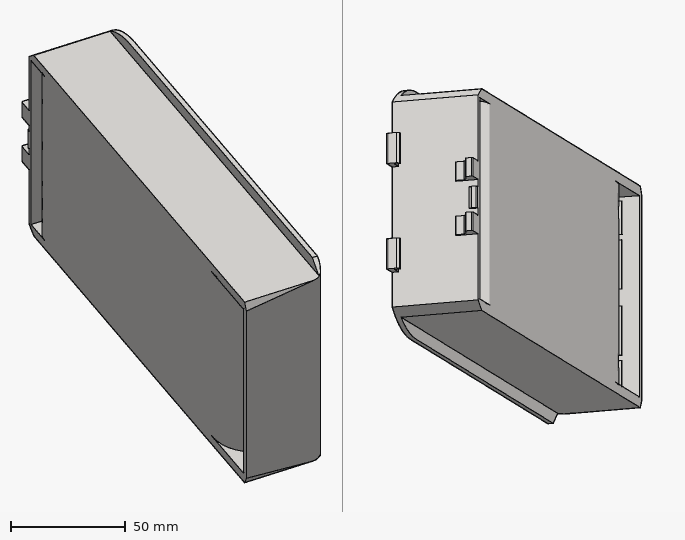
import cadquery as cq
import math


overall_length = 212.44
depth = 40.0
flange_half_height = 55.3
flange_thickness = 2.5
flange_chamfer = 7.0
flange_end_x = 209.6
box_half_height = 49.6
near_wall_x = 7.1
end_draft_angle = 3.0
back_edge_radius = 7.0

corner_radius = 33.0
corner_center_x = 30.2

end_bevel_length = 1.8
end_bevel_height = 3.7

pocket_half_height = 45.0
near_pocket_start = 9.1
near_pocket_end = 21.85
near_pocket_depth = 10.0
near_roll_radius = 11.0
near_roll_angle = 70.0
near_foot_x = 11.3
near_foot_y = 9.5
far_pocket_start = 179.3
far_pocket_end = 209.4
far_pocket_depth = 34.0
far_roll_radius = 23.0
far_roll_angle = 77.0
far_foot_x = 205.5
far_foot_y = 32.5

hook_bottom_z = 16.8
hook_top_z = 30.35
hook_reach = 5.8
hook_arm_thickness = 3.0
hook_lip = 2.2
hook_tip_length = 0.7
hook_tip_height = 1.2
hook_back_length = 0.3
hook_back_height = 1.25

clip_bottom_z = 8.0
clip_top_z = 16.3
clip_depth = 10.2
clip_tip_depth = 3.5
clip_flare_radius = 7.5
clip_edge_chamfer = 0.5
pad_x = 5.5

tab_half_height = 4.8
tab_depth = 3.8
tab_back_bevel_length = 0.6
tab_back_bevel_depth = 1.3

insert_front_y = 8.0
insert_proud = 0.25
insert_seat = 1.0
insert_taper = 1.9
side_notch_z = 27.0
side_notch_height = 2.4
side_notch_depth = 4.0
middle_notch_height = 7.6
middle_notch_depth = 2.5

draft_slope = math.tan(math.radians(end_draft_angle))


def extrude_between(profile, low_z, high_z):
    """Extrude a closed XY profile from low_z to high_z."""
    return profile.extrude(high_z - low_z).translate((0, 0, low_z))


def block(x_range, y_range, z_range):
    """Rectangular block given by its limits along each axis."""
    (x0, x1), (y0, y1), (z0, z1) = x_range, y_range, z_range
    return cq.Workplane("XY").box(x1 - x0, y1 - y0, z1 - z0, centered=False).translate((x0, y0, z0))


def far_outer_x(y):
    """X of the drafted outer end face at depth y."""
    return overall_length - y * draft_slope


def far_inner_x(y):
    """X of the drafted inner face of the far end wall at depth y."""
    return far_pocket_end - y * draft_slope


def make_shell():
    """Solid box and flange, before pockets and hooks."""
    flange_x = (corner_center_x - corner_radius, flange_end_x)
    full_z = (-flange_half_height, flange_half_height)
    box_z = (-box_half_height, box_half_height)
    flange = (
        block(flange_x, (depth - flange_thickness, depth), full_z)
        .edges("|Y and >X")
        .chamfer(flange_chamfer)
        .edges("|Y and <X")
        .fillet(corner_radius)
    )
    rounded = block((flange_x[0], overall_length), (0, depth), full_z).edges("|Y and <X").fillet(corner_radius)
    box = block((near_wall_x, overall_length), (0, depth), box_z).intersect(rounded)
    box = box.cut(end_bevel_cutter()).cut(end_bevel_cutter().mirror("XY"))
    side_profile = (
        cq.Workplane("XY")
        .moveTo(near_wall_x, 0)
        .lineTo(overall_length, 0)
        .lineTo(far_outer_x(depth), depth)
        .lineTo(near_wall_x, depth)
        .close()
    )
    envelope = extrude_between(side_profile, *full_z).faces(">Y").edges(">X").fillet(back_edge_radius)
    return box.union(flange).intersect(envelope)


def end_bevel_cutter():
    """Triangular prism that bevels the upper far corner of the box."""
    return (
        cq.Workplane("XZ")
        .moveTo(overall_length, box_half_height)
        .lineTo(overall_length - end_bevel_length, box_half_height)
        .lineTo(overall_length, box_half_height - end_bevel_height)
        .close()
        .extrude(-depth)
    )


def make_rolled_pocket(edge_x, end_x, floor_end, foot, roll_radius, roll_angle):
    """Pocket with one smooth S-shaped side that starts at edge_x and a plain end wall at end_x.

    The smooth side rolls in from the front face at roll_radius until it has turned by roll_angle,
    then runs down to the foot point and levels out along the floor to floor_end.
    """
    toward_end = math.copysign(1, end_x - edge_x)

    def roll_point(angle_degrees):
        angle = math.radians(angle_degrees)
        return edge_x + toward_end * roll_radius * math.sin(angle), roll_radius * (1 - math.cos(angle))

    side_points = [roll_point(roll_angle / 2), roll_point(roll_angle), foot, floor_end]
    profile = (
        cq.Workplane("XY")
        .moveTo(edge_x, 0)
        .spline(side_points, tangents=[(toward_end, 0), (toward_end, 0)], includeCurrent=True)
        .lineTo(end_x, 0)
        .close()
    )
    return extrude_between(profile, -pocket_half_height, pocket_half_height)


def make_hook():
    """Upper back hook: an arm with a lip turned toward the front."""
    tip_y = depth - hook_reach
    profile = (
        cq.Workplane("XY")
        .moveTo(near_wall_x, depth)
        .lineTo(hook_back_length, depth)
        .lineTo(0, depth - hook_back_height)
        .lineTo(0, tip_y + hook_tip_height)
        .lineTo(hook_tip_length, tip_y)
        .lineTo(hook_lip, tip_y)
        .lineTo(hook_lip, depth - hook_arm_thickness)
        .lineTo(near_wall_x, depth - hook_arm_thickness)
        .close()
    )
    return extrude_between(profile, hook_bottom_z, hook_top_z)


def make_clip():
    """Upper front clip: a pad on the wall that flares out to a blunt tip."""

    def flare_y(x):
        return clip_tip_depth + clip_flare_radius - math.sqrt(clip_flare_radius**2 - x**2)

    profile = (
        cq.Workplane("XY")
        .moveTo(near_wall_x, 0)
        .lineTo(clip_edge_chamfer, 0)
        .lineTo(0, clip_edge_chamfer)
        .lineTo(0, clip_tip_depth - clip_edge_chamfer)
        .lineTo(clip_edge_chamfer, flare_y(clip_edge_chamfer))
        .threePointArc(
            (pad_x / 2, flare_y(pad_x / 2)),
            (pad_x, flare_y(pad_x)),
        )
        .lineTo(pad_x, clip_depth - clip_edge_chamfer)
        .lineTo(pad_x + clip_edge_chamfer, clip_depth)
        .lineTo(near_wall_x, clip_depth)
        .close()
    )
    return extrude_between(profile, clip_bottom_z, clip_top_z)


def make_tab():
    """Low tab between the two clips."""
    profile = (
        cq.Workplane("XY")
        .moveTo(near_wall_x, 0)
        .lineTo(pad_x + clip_edge_chamfer, 0)
        .lineTo(pad_x, clip_edge_chamfer)
        .lineTo(pad_x, tab_depth - tab_back_bevel_depth)
        .lineTo(pad_x + tab_back_bevel_length, tab_depth)
        .lineTo(near_wall_x, tab_depth)
        .close()
    )
    return extrude_between(profile, -tab_half_height, tab_half_height)


def make_insert():
    """Notched plate, parallel to the drafted end wall, with its sides narrowing toward the front."""
    section = (
        cq.Workplane("XY")
        .moveTo(far_inner_x(insert_front_y) - insert_proud, insert_front_y)
        .lineTo(far_inner_x(insert_front_y) + insert_seat, insert_front_y)
        .lineTo(far_inner_x(far_pocket_depth) + insert_seat, far_pocket_depth)
        .lineTo(far_inner_x(far_pocket_depth) - insert_proud, far_pocket_depth)
        .close()
    )
    plate = extrude_between(section, -pocket_half_height, pocket_half_height)
    front_half_height = pocket_half_height - insert_taper
    outline = (
        cq.Workplane("YZ")
        .moveTo(insert_front_y, -front_half_height)
        .lineTo(insert_front_y, front_half_height)
        .lineTo(far_pocket_depth, pocket_half_height)
        .lineTo(far_pocket_depth, -pocket_half_height)
        .close()
        .extrude(overall_length)
    )
    plate = plate.intersect(outline)
    notches = [
        (-side_notch_z, side_notch_height, side_notch_depth),
        (0, middle_notch_height, middle_notch_depth),
        (side_notch_z, side_notch_height, side_notch_depth),
    ]
    for center_z, height, notch_depth in notches:
        y_range = (insert_front_y, insert_front_y + notch_depth)
        z_range = (center_z - height / 2, center_z + height / 2)
        plate = plate.cut(block((far_pocket_start, overall_length), y_range, z_range))
    return plate


near_pocket = make_rolled_pocket(
    near_pocket_end,
    near_pocket_start,
    (near_pocket_start, near_pocket_depth),
    (near_foot_x, near_foot_y),
    near_roll_radius,
    near_roll_angle,
)
far_pocket = make_rolled_pocket(
    far_pocket_start,
    far_pocket_end,
    (far_inner_x(far_pocket_depth), far_pocket_depth),
    (far_foot_x, far_foot_y),
    far_roll_radius,
    far_roll_angle,
)
insert = make_insert()

housing = make_shell().cut(near_pocket).cut(far_pocket)
for upper_feature in (make_hook(), make_clip()):
    housing = housing.union(upper_feature).union(upper_feature.mirror("XY"))
housing = housing.union(make_tab()).cut(insert)

result = cq.Compound.makeCompound([housing.solids().val(), insert.solids().val()])